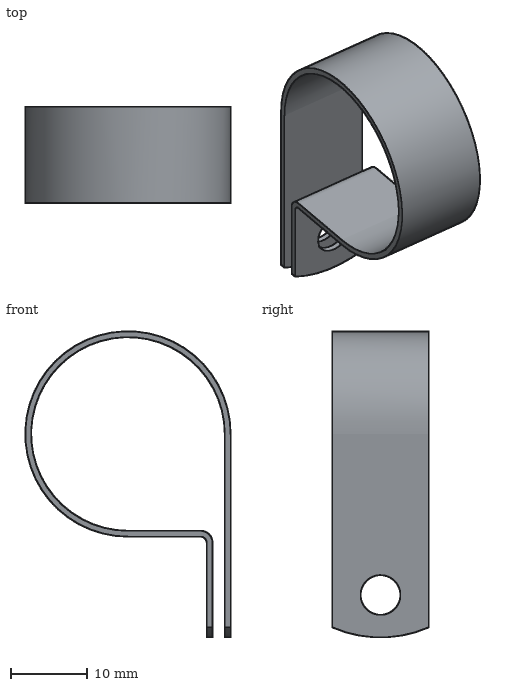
import cadquery as cq
import math

height = 40.25
strap_width = 12.7
thickness = 0.8
loop_diameter = 27.0
leg_gap = 1.57
bend_inner_radius = 0.8
end_sagitta = 1.33
hole_diameter = 5.2
hole_height = 5.6

outer_radius = loop_diameter / 2
inner_radius = outer_radius - thickness
bend_outer_radius = bend_inner_radius + thickness
tip_z = outer_radius - height
short_leg_outer_x = inner_radius - leg_gap
short_leg_inner_x = short_leg_outer_x - thickness
bend_x = short_leg_outer_x - bend_outer_radius
bend_z = -inner_radius - bend_outer_radius
diagonal = math.sqrt(0.5)


def make_strap():
    """Bent strip: long leg, three-quarter loop, flat shelf, bend and short leg."""
    profile = (
        cq.Workplane("XZ")
        .moveTo(outer_radius, tip_z)
        .lineTo(outer_radius, 0)
        .threePointArc((-outer_radius * diagonal, outer_radius * diagonal), (0, -outer_radius))
        .lineTo(bend_x, -outer_radius)
        .threePointArc(
            (bend_x + bend_inner_radius * diagonal, bend_z + bend_inner_radius * diagonal),
            (short_leg_inner_x, bend_z),
        )
        .lineTo(short_leg_inner_x, tip_z)
        .lineTo(short_leg_outer_x, tip_z)
        .lineTo(short_leg_outer_x, bend_z)
        .threePointArc(
            (bend_x + bend_outer_radius * diagonal, bend_z + bend_outer_radius * diagonal),
            (bend_x, -inner_radius),
        )
        .lineTo(0, -inner_radius)
        .threePointArc((-inner_radius * diagonal, inner_radius * diagonal), (inner_radius, 0))
        .lineTo(inner_radius, tip_z)
        .close()
    )
    return profile.extrude(strap_width / 2, both=True)


def make_end_envelope():
    """Side outline, with a curved lower edge, that rounds both leg tips."""
    half_width = strap_width / 2
    corner_z = tip_z + end_sagitta
    return (
        cq.Workplane("YZ")
        .moveTo(-half_width, outer_radius)
        .lineTo(-half_width, corner_z)
        .threePointArc((0, tip_z), (half_width, corner_z))
        .lineTo(half_width, outer_radius)
        .close()
        .extrude(outer_radius, both=True)
    )


def make_screw_hole():
    """Cylinder along X that passes through both legs."""
    return (
        cq.Workplane("YZ")
        .center(0, tip_z + hole_height)
        .circle(hole_diameter / 2)
        .extrude(outer_radius)
    )


result = make_strap().intersect(make_end_envelope()).cut(make_screw_hole())